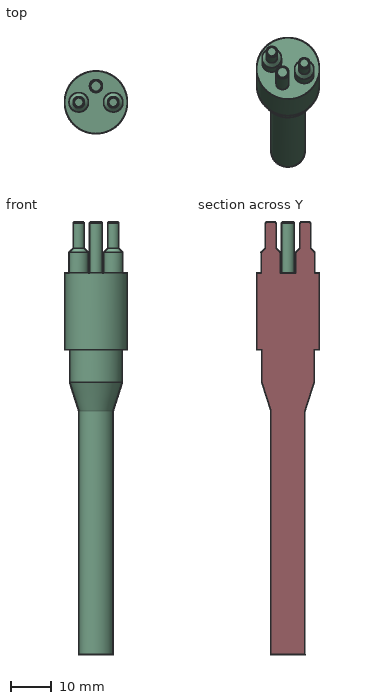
import cadquery as cq

cable_diameter = 8.5
cable_length = 60.0

cone_height = 7.0
neck_diameter = 13.0
neck_height = 8.0

body_diameter = 15.5
body_height = 19.0

overall_height = 106.5
line_pin_diameter = 2.8
line_pin_offset = 4.25
earth_pin_diameter = 3.2
earth_pin_offset = 4.0
pin_tip_chamfer = 0.3

collar_diameter = 4.8
collar_height = 5.0
collar_chamfer_height = 1.0

neck_base = cable_length + cone_height
body_base = neck_base + neck_height
body_top = body_base + body_height
pin_height = overall_height - body_top


def make_housing():
    """Cable, strain relief and body, revolved about Z."""
    cable_radius = cable_diameter / 2
    neck_radius = neck_diameter / 2
    body_radius = body_diameter / 2
    return (
        cq.Workplane("XZ")
        .lineTo(cable_radius, 0)
        .lineTo(cable_radius, cable_length)
        .lineTo(neck_radius, neck_base)
        .lineTo(neck_radius, body_base)
        .lineTo(body_radius, body_base)
        .lineTo(body_radius, body_top)
        .lineTo(0, body_top)
        .close()
        .revolve(360, (0, 0, 0), (0, 1, 0))
    )


def make_post(x, y, diameter, height):
    """Upright round post on the body's top face."""
    return cq.Workplane("XY", origin=(x, y, body_top)).circle(diameter / 2).extrude(height)


def make_pin(x, y, diameter):
    """Contact pin with a small chamfer around its tip."""
    return make_post(x, y, diameter, pin_height).faces(">Z").edges().chamfer(pin_tip_chamfer)


def make_line_contact(x):
    """Pin rising from a collar whose rim tapers in to the pin."""
    pin = make_pin(x, 0, line_pin_diameter)
    rim_width = (collar_diameter - line_pin_diameter) / 2
    collar = make_post(x, 0, collar_diameter, collar_height + collar_chamfer_height)
    collar = collar.faces(">Z").edges().chamfer(collar_chamfer_height, rim_width)
    return collar.union(pin)


result = make_housing()
result = result.union(make_pin(0, earth_pin_offset, earth_pin_diameter))
for side in (-1, 1):
    result = result.union(make_line_contact(side * line_pin_offset))